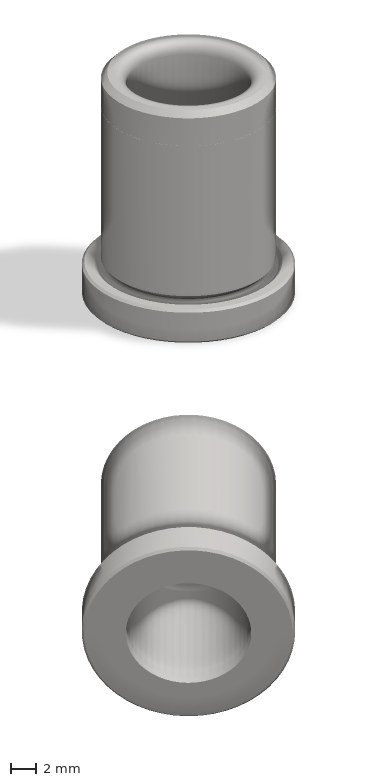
import cadquery as cq
import math

height = 20.0
flange_radius = 8.5
flange_height = 3.0
flange_chamfer = 0.2

sleeve_radius = 13.98 / 2
lead_radius = 13.95 / 2
lead_length = 3.0
sleeve_chamfer = 0.5

neck_radius = 6.5
undercut_radius = 7.5
undercut_depth = 0.3

bore_radius = 5.0
mouth_radius = 1.0
groove_radius = 1.0
groove_top = 14.0


def arc_point(center_r, center_z, radius, angle):
    """Point on a circle in the (radius, height) plane, angle in degrees."""
    turn = math.radians(angle)
    return (center_r + radius * math.cos(turn), center_z + radius * math.sin(turn))


def section():
    """Half section of the bushing, with radius along X and height along Y."""
    undercut_floor = flange_height - undercut_depth
    fillet_center_r = neck_radius + undercut_depth
    mouth_center_r = bore_radius + mouth_radius
    mouth_center_z = height - mouth_radius
    groove_middle = groove_top - groove_radius
    lead_start = height - lead_length

    outline = (
        cq.Workplane("XY")
        .moveTo(bore_radius, 0)
        .lineTo(flange_radius - flange_chamfer, 0)
        .lineTo(flange_radius, flange_chamfer)
        .lineTo(flange_radius, flange_height - flange_chamfer)
        .lineTo(flange_radius - flange_chamfer, flange_height)
    )
    outline = (
        outline.lineTo(undercut_radius, flange_height)
        .lineTo(undercut_radius - undercut_depth, undercut_floor)
        .lineTo(fillet_center_r, undercut_floor)
        .threePointArc(
            arc_point(fillet_center_r, flange_height, undercut_depth, 225),
            (neck_radius, flange_height),
        )
    )
    outline = (
        outline.lineTo(sleeve_radius, flange_height + sleeve_chamfer)
        .lineTo(sleeve_radius, lead_start)
        .lineTo(lead_radius, lead_start)
        .lineTo(lead_radius, height - sleeve_chamfer)
        .lineTo(lead_radius - sleeve_chamfer, height)
    )
    outline = (
        outline.lineTo(mouth_center_r, height)
        .threePointArc(
            arc_point(mouth_center_r, mouth_center_z, mouth_radius, 135),
            (bore_radius, mouth_center_z),
        )
        .lineTo(bore_radius, groove_top)
        .threePointArc(
            (bore_radius + groove_radius, groove_middle),
            (bore_radius, groove_middle - groove_radius),
        )
    )
    return outline.close()


result = (
    section()
    .revolve(360, (0, 0, 0), (0, 1, 0))
    .rotate((0, 0, 0), (1, 0, 0), 90)
)